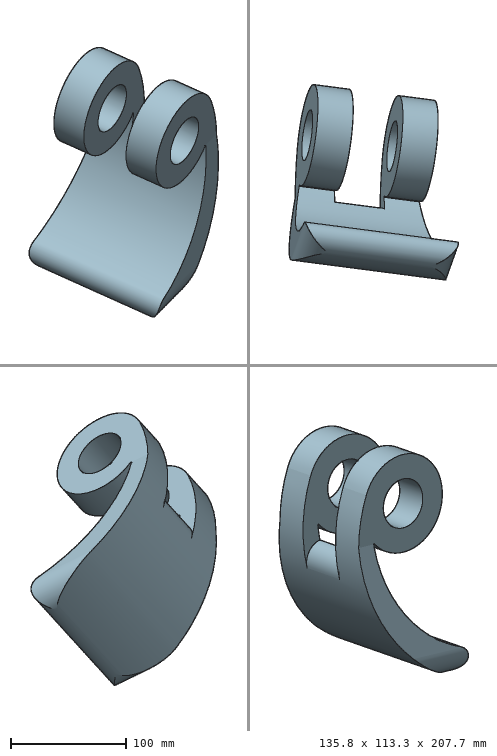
import cadquery as cq
import math


bore_diameter = 44.5
eye_radius = bore_diameter
eye_width = 31.4
eye_gap = 44.0

back_reach = 50.3
back_radius = 136.6
inner_radius = 124.5
inner_top_y = 33.2
tip_radius = 13.3
overall_height = 207.7

arm_max_width = 135.8
taper_start_z = -31.0
corner_radius = 22.2

notch_round_radius = 18.3
notch_floor_z = -eye_radius


def point_toward(start, target, distance):
    """Point at a distance from start on the ray through target."""
    span = math.dist(start, target)
    return tuple(s + (t - s) * distance / span for s, t in zip(start, target))


def upper_intersection(center_a, radius_a, center_b, radius_b):
    """Upper crossing point of two circles."""
    span = math.dist(center_a, center_b)
    along = (radius_a**2 - radius_b**2 + span**2) / (2 * span)
    across = math.sqrt(radius_a**2 - along**2)
    foot = point_toward(center_a, center_b, along)
    unit_y = (center_b[0] - center_a[0]) / span
    unit_z = (center_b[1] - center_a[1]) / span
    crossings = [(foot[0] - side * across * unit_z, foot[1] + side * across * unit_y) for side in (1, -1)]
    return max(crossings, key=lambda point: point[1])


def extrude_along_x(profile, width, middle=0):
    return profile.extrude(width / 2, both=True).translate((middle, 0, 0))


back_center_y = back_reach - back_radius
back_center_z = -math.sqrt((back_radius - eye_radius) ** 2 - back_center_y**2)
back_center = (back_center_y, back_center_z)

tip_z = eye_radius - overall_height
tip_center_z = tip_z + tip_radius
tip_rise = tip_center_z - back_center_z
tip_center_y = back_center_y + math.sqrt((back_radius - tip_radius) ** 2 - tip_rise**2)
tip_center = (tip_center_y, tip_center_z)

inner_top = (inner_top_y, taper_start_z)
inner_center = upper_intersection(tip_center, inner_radius + tip_radius, inner_top, inner_radius)

eye_half_span = eye_gap / 2 + eye_width


def arm_profile():
    eye_tangent = point_toward(back_center, (0, 0), back_radius)
    back_middle = point_toward(back_center, (0, 2 * back_center_z - eye_radius), back_radius)
    tip_back = point_toward(back_center, tip_center, back_radius)
    tip_inner = point_toward(inner_center, tip_center, inner_radius)
    tip_end = (tip_center[0] - tip_radius, tip_center[1])
    chord_middle = tuple((a + b) / 2 for a, b in zip(tip_inner, inner_top))
    inner_middle = point_toward(inner_center, chord_middle, inner_radius)
    return (
        cq.Workplane("YZ")
        .moveTo(*eye_tangent)
        .threePointArc(back_middle, tip_back)
        .threePointArc(tip_end, tip_inner)
        .threePointArc(inner_middle, inner_top)
        .lineTo(0, 0)
        .close()
    )


def arm_outline():
    """Straight beside the eyes, then flared, with rounded lower corners."""
    corner_x = arm_max_width / 2 - corner_radius
    corner_z = tip_z + corner_radius
    run_x = corner_x - eye_half_span
    drop = taper_start_z - corner_z
    direction = math.atan2(drop, -run_x)
    normal_angle = direction - math.acos(corner_radius / math.hypot(run_x, drop))
    tangent_x = corner_x + corner_radius * math.cos(normal_angle)
    tangent_z = corner_z + corner_radius * math.sin(normal_angle)
    middle_angle = (normal_angle - math.pi / 2) / 2
    middle_x = corner_x + corner_radius * math.cos(middle_angle)
    middle_z = corner_z + corner_radius * math.sin(middle_angle)
    return (
        cq.Workplane("XZ")
        .moveTo(eye_half_span, eye_radius)
        .lineTo(eye_half_span, taper_start_z)
        .lineTo(tangent_x, tangent_z)
        .threePointArc((middle_x, middle_z), (corner_x, tip_z))
        .lineTo(-corner_x, tip_z)
        .threePointArc((-middle_x, middle_z), (-tangent_x, tangent_z))
        .lineTo(-eye_half_span, taper_start_z)
        .lineTo(-eye_half_span, eye_radius)
        .close()
    )


def notch_profile():
    """Space between the eyes, with its floor rounded over into the back face."""
    round_z = notch_floor_z - notch_round_radius
    offset_radius = back_radius - notch_round_radius
    round_y = back_center_y + math.sqrt(offset_radius**2 - (round_z - back_center_z) ** 2)
    round_center = (round_y, round_z)
    back_tangent = point_toward(back_center, round_center, back_radius)
    round_top = (round_y, notch_floor_z)
    round_middle = point_toward(round_center, (round_y + 2, round_z + 2), notch_round_radius)
    clear_y = back_reach + eye_radius
    return (
        cq.Workplane("YZ")
        .moveTo(-clear_y, notch_floor_z)
        .lineTo(*round_top)
        .threePointArc(round_middle, back_tangent)
        .lineTo(clear_y, back_tangent[1])
        .lineTo(clear_y, clear_y)
        .lineTo(-clear_y, clear_y)
        .close()
    )


arm = extrude_along_x(arm_profile(), arm_max_width)
arm = arm.intersect(arm_outline().extrude(back_radius, both=True))

result = arm
for side in (-1, 1):
    eye_profile = cq.Workplane("YZ").circle(eye_radius)
    result = result.union(extrude_along_x(eye_profile, eye_width, side * (eye_gap + eye_width) / 2))

bore = extrude_along_x(cq.Workplane("YZ").circle(bore_diameter / 2), arm_max_width)
notch = extrude_along_x(notch_profile(), eye_gap)
result = result.cut(notch).cut(bore)